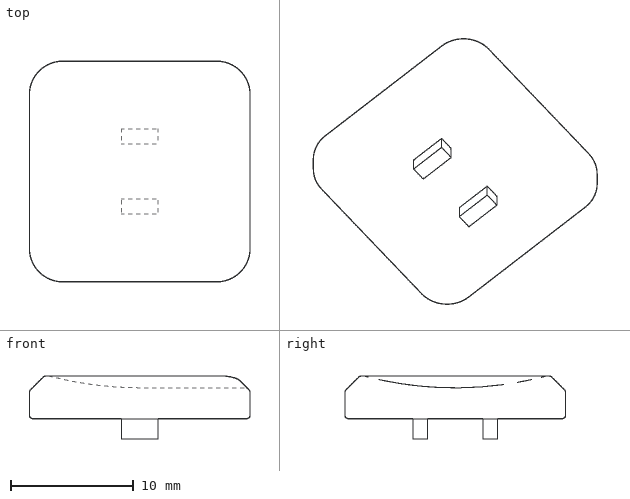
import cadquery as cq

side = 18.0
body_height = 3.5
corner_radius = 2.74
chamfer_size = 1.22
edge_radius = 0.3

dish_radius = 7.45
dish_depth = 0.97
sphere_radius = (dish_radius**2 + dish_depth**2) / (2 * dish_depth)

leg_length_x = 3.0
leg_width_y = 1.2
leg_height = 1.65
leg_spacing = 5.7


def make_blank():
    """Square cap with rounded corners and a chamfered top."""
    blank = cq.Workplane("XY").rect(side, side).extrude(body_height)
    blank = blank.edges("|Z").fillet(corner_radius)
    return blank.faces(">Z").chamfer(chamfer_size)


def make_dish():
    """Two cutters, a half bowl and a trough, both lowest on the cap axis."""
    profile = (
        cq.Workplane("XZ", origin=(0, 0, body_height))
        .moveTo(0, 0)
        .lineTo(0, -dish_depth)
        .radiusArc((dish_radius, 0), -sphere_radius)
        .close()
    )
    bowl = profile.revolve(180, (0, 0, 0), (0, 1, 0)).rotate((0, 0, 0), (0, 0, 1), 90)
    trough = (
        cq.Workplane("YZ", origin=(0, 0, body_height))
        .moveTo(-dish_radius, 0)
        .threePointArc((0, -dish_depth), (dish_radius, 0))
        .close()
        .extrude(side)
    )
    return bowl, trough


def make_legs():
    """Two rectangular legs hanging from the flat underside."""
    return (
        cq.Workplane("XY")
        .pushPoints([(0, -leg_spacing / 2), (0, leg_spacing / 2)])
        .rect(leg_length_x, leg_width_y)
        .extrude(-leg_height)
    )


cap = make_blank()
for cutter in make_dish():
    cap = cap.cut(cutter)
cap = cap.edges("not |Z").fillet(edge_radius)
result = cap.union(make_legs())